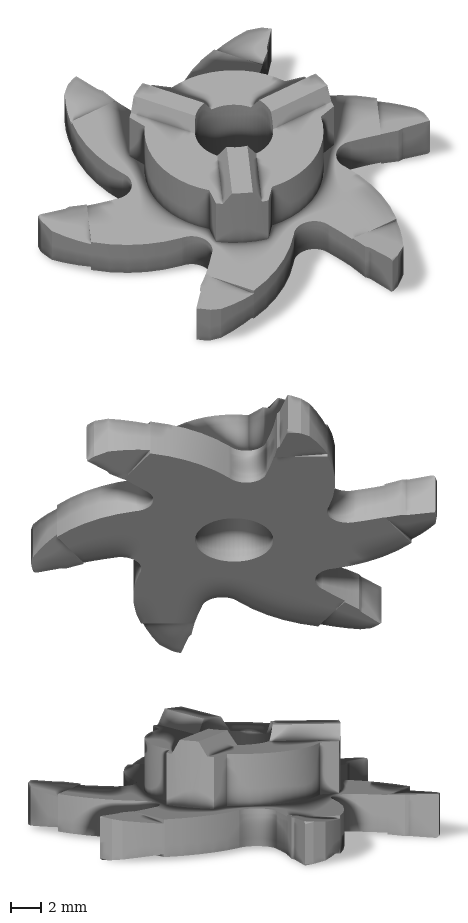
import cadquery as cq
import math


tooth_count = 6
tooth_pitch = 360 / tooth_count
tip_radius = 13.85
disc_thickness = 2.55
bore_radius = 2.6

gullet_radius = 1.38
gullet_x = 8.2
gullet_y = -1.35
gullet_back_angle = 218.0
gullet_middle_angle = 150.0
gullet_face_angle = 84.0

face_middle = (9.15, 0.03)
ledge_inner = (11.58, -0.15)
ledge_outer = (11.9, -0.03)

short_land_end = (13.8, 0.6)
long_land_end = (13.75, 0.95)
shoulder_end = (13.43, 1.6)
shoulder_start = (11.27, 3.43)
back_middle = (8.53, 4.68)

tip_line_angle = -15.0
tip_line_distance = 10.03
tip_zone_start = 2.22
tip_zone_end = 7.2
tip_flat_position = 3.9
side_stagger = 0.08
flare_angle = 4.0
relief_angle = 5.0
tip_corner_radius = 0.22
tip_overhang = 0.25

hub_radius = 5.95
hub_height = 3.52
lobe_count = 3
lobe_first_angle = 75.0
lobe_radius = 7.1
lobe_half_angle = 14.3
lobe_flank_angle = 15.0

key_height = 1.0
key_base_half_width = 1.3
key_top_half_width = 0.7

oversize = 33.25


def polar(radius, degrees):
    """Point at a radius and an angle."""
    angle = math.radians(degrees)
    return (radius * math.cos(angle), radius * math.sin(angle))


def turned(point, degrees):
    """Point turned about the origin."""
    radius = math.hypot(*point)
    return polar(radius, math.degrees(math.atan2(point[1], point[0])) + degrees)


def gullet_point(degrees):
    """Point on the gullet circle."""
    x, y = polar(gullet_radius, degrees)
    return (gullet_x + x, gullet_y + y)


def star_outline():
    """Outline of the six hooked teeth and the round gullets between them."""
    outline = cq.Workplane("XY").moveTo(tip_radius, 0)
    for tooth in range(tooth_count):
        angle = -tooth * tooth_pitch
        following = angle - tooth_pitch
        land_end = long_land_end if tooth % 2 == 0 else short_land_end
        outline = (
            outline.lineTo(*turned(ledge_outer, angle))
            .lineTo(*turned(ledge_inner, angle))
            .threePointArc(
                turned(face_middle, angle), turned(gullet_point(gullet_face_angle), angle)
            )
            .threePointArc(
                turned(gullet_point(gullet_middle_angle), angle),
                turned(gullet_point(gullet_back_angle), angle),
            )
            .threePointArc(turned(back_middle, following), turned(shoulder_start, following))
            .tangentArcPoint(turned(shoulder_end, following), relative=False)
            .lineTo(*turned(land_end, following))
            .lineTo(*turned((tip_radius, 0), following))
        )
    return outline.close()


def tip_zone():
    """Block that holds the tip of the tooth on +X, beyond the line where its sides start to tilt."""
    return (
        cq.Workplane("XY")
        .moveTo(tip_line_distance, tip_zone_start)
        .lineTo(oversize, tip_zone_start)
        .lineTo(oversize, tip_zone_end)
        .lineTo(tip_line_distance, tip_zone_end)
        .close()
        .extrude(oversize, both=True)
        .rotate((0, 0, 0), (0, 0, 1), tip_line_angle)
    )


def side_cutter(drop):
    """Cutter above the tilted upper side of the tip on +X, lowered by a drop."""
    slope_out = math.tan(math.radians(flare_angle))
    slope_back = math.tan(math.radians(relief_angle))
    tilted = cq.Plane(
        origin=(tip_line_distance, tip_flat_position, disc_thickness - drop),
        xDir=(1, 0, slope_out),
        normal=(-slope_out, slope_back, 1),
    )
    return (
        cq.Workplane(tilted)
        .rect(oversize, oversize)
        .extrude(oversize)
        .rotate((0, 0, 0), (0, 0, 1), tip_line_angle)
    )


def upside_down(shape):
    """Shape mirrored in the middle plane of the disc."""
    return shape.mirror("XY", (0, 0, disc_thickness / 2))


def tip_envelope():
    """Tip block on +X between its two tilted sides, with the corners at the tip rounded."""
    above = side_cutter(0)
    below = upside_down(side_cutter(side_stagger))
    rounded = (
        cq.Workplane("XZ")
        .center(0, disc_thickness / 2)
        .rect(2 * tip_radius, disc_thickness + 2 * tip_overhang)
        .extrude(oversize, both=True)
        .edges("|Y")
        .fillet(tip_corner_radius)
    )
    return tip_zone().cut(above).cut(below).intersect(rounded)


def around(shape, count, first_angle=0.0):
    """Copies of a shape spread evenly about the axis."""
    return [
        shape.rotate((0, 0, 0), (0, 0, 1), first_angle + copy * 360 / count)
        for copy in range(count)
    ]


def bore():
    """Cutter for the hole along the axis."""
    return cq.Workplane("XY").circle(bore_radius).extrude(oversize, both=True)


def make_disc():
    """Toothed disc with flared cutting tips."""
    disc = star_outline().extrude(disc_thickness)
    for zone in around(tip_zone(), tooth_count):
        disc = disc.cut(zone)
    tall_star = star_outline().extrude(oversize / 2, both=True)
    upper_envelopes = around(tip_envelope(), tooth_count // 2)
    lower_envelopes = around(upside_down(tip_envelope()), tooth_count // 2, tooth_pitch)
    for envelope in upper_envelopes + lower_envelopes:
        disc = disc.union(tall_star.intersect(envelope))
    return disc.cut(bore())


def lobe(height):
    """Lobe of a given height on +X whose flanks draw in towards its outer face."""
    outer_x, outer_y = polar(lobe_radius, lobe_half_angle)
    spread = math.tan(math.radians(lobe_flank_angle))
    root_y = outer_y + spread * outer_x
    return (
        cq.Workplane("XY")
        .moveTo(0, -root_y)
        .lineTo(outer_x, -outer_y)
        .threePointArc((lobe_radius, 0), (outer_x, outer_y))
        .lineTo(0, root_y)
        .close()
        .extrude(height)
    )


def key_bar():
    """Trapezoid bar along +X that gives a drive key its section."""
    return (
        cq.Workplane("YZ", origin=(0, 0, hub_height))
        .moveTo(-key_base_half_width, 0)
        .lineTo(-key_top_half_width, key_height)
        .lineTo(key_top_half_width, key_height)
        .lineTo(key_base_half_width, 0)
        .close()
        .extrude(oversize)
    )


def make_hub():
    """Round hub with three lobes, each carrying a drive key on top."""
    hub = cq.Workplane("XY").circle(hub_radius).extrude(hub_height)
    lobe_body = lobe(hub_height)
    key = key_bar().intersect(lobe(hub_height + key_height))
    for copy in around(lobe_body, lobe_count, lobe_first_angle):
        hub = hub.union(copy)
    for copy in around(key, lobe_count, lobe_first_angle):
        hub = hub.union(copy)
    return hub.cut(bore()).translate((0, 0, disc_thickness))


disc = make_disc()
hub = make_hub()
result = cq.Compound.makeCompound([*disc.solids().vals(), *hub.solids().vals()])